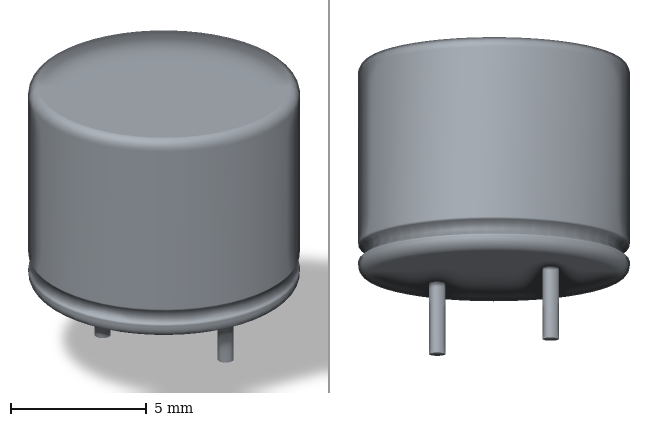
import cadquery as cq

can_diameter = 10.0
overall_height = 10.66
pin_length = 2.66
can_radius = can_diameter / 2
can_height = overall_height - pin_length

top_edge_height = 0.4
top_edge_inset = 0.32
bottom_edge_radius = 0.39

groove_center_height = 0.84
groove_half_width = 0.34
groove_depth = 0.23
lip_share = 0.22

pin_diameter = 0.6
pin_spacing = 5.0
pin_embed = 0.53


def make_can():
    """Revolve the can profile, with its groove and rounded edges."""
    groove_bottom = groove_center_height - groove_half_width
    groove_top = groove_center_height + groove_half_width
    throat_radius = can_radius - groove_depth

    bend_radius = can_radius - lip_share * groove_depth
    bend_offset = (1 - lip_share) * groove_half_width

    profile = (
        cq.Workplane("XZ")
        .lineTo(can_radius - bottom_edge_radius, 0)
        .tangentArcPoint((can_radius, bottom_edge_radius), relative=False)
        .lineTo(can_radius, groove_bottom)
        .tangentArcPoint((bend_radius, groove_center_height - bend_offset), relative=False)
        .threePointArc(
            (throat_radius, groove_center_height),
            (bend_radius, groove_center_height + bend_offset),
        )
        .tangentArcPoint((can_radius, groove_top), relative=False)
        .lineTo(can_radius, can_height - top_edge_height)
        .tangentArcPoint((can_radius - top_edge_inset, can_height), relative=False)
        .lineTo(0, can_height)
        .close()
    )
    return profile.revolve(360, (0, 0, 0), (0, 1, 0))


def make_pins():
    """Two round pins hanging below the can."""
    return (
        cq.Workplane("XY")
        .workplane(offset=-pin_length)
        .pushPoints([(side * pin_spacing / 2, 0) for side in (-1, 1)])
        .circle(pin_diameter / 2)
        .extrude(pin_length + pin_embed)
    )


result = make_can().union(make_pins())